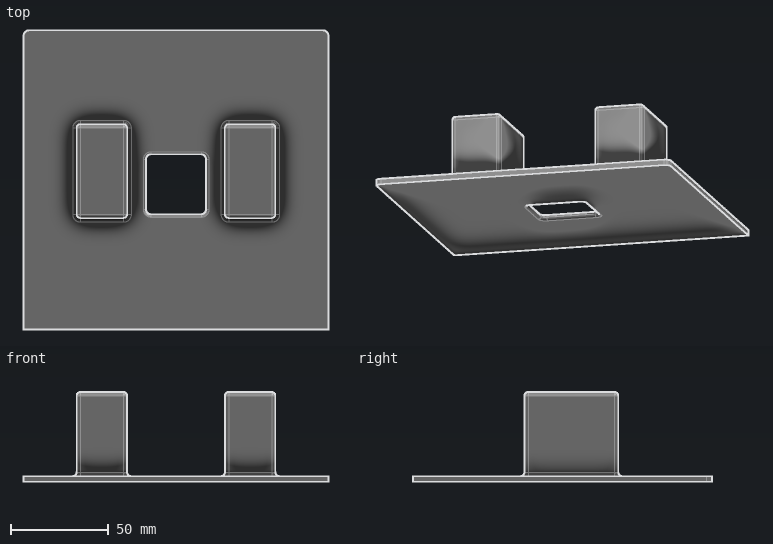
import cadquery as cq

plate_width = 156.0
plate_depth = 153.0
plate_thickness = 3.0
plate_corner_radius = 3.0

total_height = 46.0
block_width = 25.9
block_depth = 48.0
block_spacing = 75.8
block_y = 4.5

window_size = 30.5
window_back_distance = 78.8
window_y = plate_depth / 2 - window_back_distance
window_corner_radius = 2.5
window_rim_radius = 1.47

edge_radius = 2.0

margin = 0.8


def make_plate():
    """Flat plate with its two +Y corners rounded."""
    plate = cq.Workplane("XY").box(plate_width, plate_depth, plate_thickness, centered=(True, True, False))
    return plate.edges("|Z and >Y").fillet(plate_corner_radius)


def make_block(x):
    """Block rising through the plate, rounded on its uprights and top."""
    block = (
        cq.Workplane("XY")
        .center(x, block_y)
        .rect(block_width, block_depth)
        .extrude(total_height)
    )
    return block.edges("|Z or >Z").fillet(edge_radius)


def make_window():
    """Through cutter with rounded corners."""
    window = (
        cq.Workplane("XY")
        .center(0, window_y)
        .rect(window_size, window_size)
        .extrude(plate_thickness)
    )
    return window.edges("|Z").fillet(window_corner_radius)


def edges_near_outline(width, depth, x, y, z_low, z_high):
    """Selector for the edges of a width x depth outline centred at (x, y), lying from z_low to z_high."""
    lower = (x - width / 2 - margin, y - depth / 2 - margin, z_low - margin)
    upper = (x + width / 2 + margin, y + depth / 2 + margin, z_high + margin)
    return cq.selectors.BoxSelector(lower, upper, boundingbox=True)


result = make_plate().cut(make_window())
window_edges = edges_near_outline(window_size, window_size, 0, window_y, 0, plate_thickness)
result = result.edges(window_edges).edges("not(|Z)").fillet(window_rim_radius)

for block_x in (-block_spacing / 2, block_spacing / 2):
    result = result.union(make_block(block_x))
    root_edges = edges_near_outline(block_width, block_depth, block_x, block_y, plate_thickness, plate_thickness)
    result = result.edges(root_edges).fillet(edge_radius)